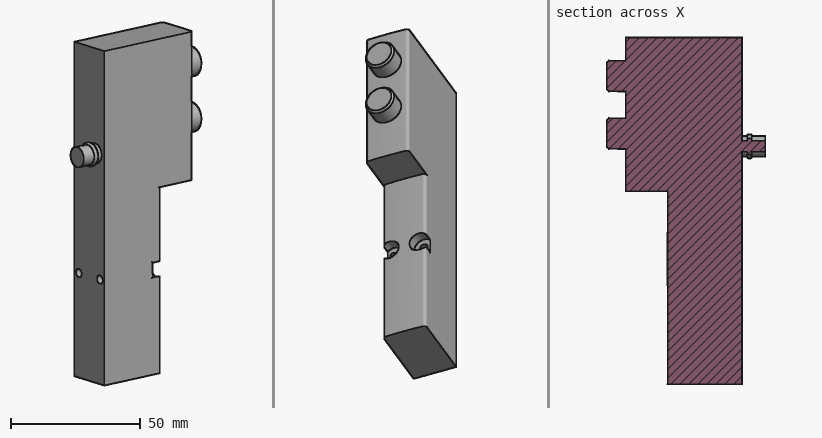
import cadquery as cq

width = 18.0
height = 133.8
head_depth = 45.0
head_bottom = 74.4
foot_depth = 28.9
back_crown = 0.3
back_corner_radius = 1.3

plug_diameter = 12.0
plug_back = 52.3
plug_chamfer = 0.8
plug_heights = (96.7, 119.0)

pin_diameter = 8.0
pin_length = 9.0
pin_x = 3.3
pin_z = 91.8
collar_diameter = 9.4
collar_width = 1.9
collar_start = 1.9
collar_round = 0.6

screw_diameter = 3.3
screw_spacing = 12.6
screw_z = 41.9
counterbore_diameter = 8.0
counterbore_floor = 24.4


def bowed_block(depth, bottom, top):
    """Upright block whose back face is bowed and has rounded corners."""
    half = width / 2
    shoulder = depth - back_crown
    return (
        cq.Workplane("XY", origin=(0, 0, bottom))
        .moveTo(-half, 0)
        .lineTo(half, 0)
        .lineTo(half, shoulder)
        .threePointArc((0, depth), (-half, shoulder))
        .close()
        .extrude(top - bottom)
        .edges("|Z")
        .edges(">Y")
        .fillet(back_corner_radius)
    )


def rod_along_y(x, z, diameter, start, end):
    """Cylinder parallel to Y between two y positions."""
    direction = cq.Vector(0, 1, 0)
    base = cq.Vector(x, start, z)
    return cq.Workplane(cq.Solid.makeCylinder(diameter / 2, end - start, base, direction))


result = bowed_block(foot_depth, 0, head_bottom).union(bowed_block(head_depth, head_bottom, height))

for plug_z in plug_heights:
    plug = rod_along_y(0, plug_z, plug_diameter, head_depth / 2, plug_back)
    result = result.union(plug.faces(">Y").chamfer(plug_chamfer))

pin = rod_along_y(pin_x, pin_z, pin_diameter, -pin_length, 0)
collar = rod_along_y(pin_x, pin_z, collar_diameter, -collar_start - collar_width, -collar_start)
result = result.union(pin).union(collar.edges().fillet(collar_round))

for side in (-1, 1):
    screw_x = side * screw_spacing / 2
    result = result.cut(rod_along_y(screw_x, screw_z, screw_diameter, 0, foot_depth))
    result = result.cut(rod_along_y(screw_x, screw_z, counterbore_diameter, counterbore_floor, foot_depth))